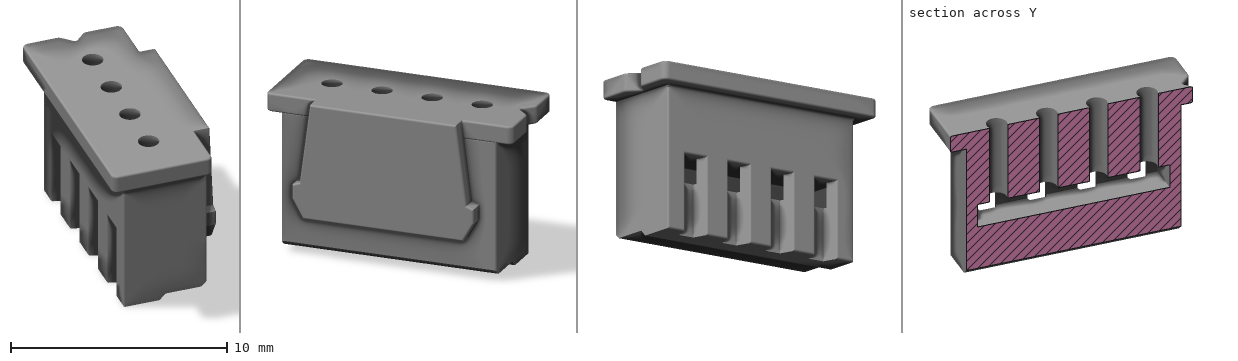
import cadquery as cq

flange_length = 12.3
flange_width = 4.93
flange_thickness = 0.9
total_height = 7.75
total_width = 5.7
edge_radius = 0.1
corner_radius = 0.3

body_length = 10.7
body_front_y = 0.8
body_back_y = flange_width
flange_bottom_z = total_height - flange_thickness
bottom_step = 0.3
bottom_step_y = 2.58
back_chamfer_width = 0.3
back_chamfer_height = 0.26

notch_depth = 0.6
notch_y = flange_width / 2
notch_root_radius = 0.14

latch_top_half = 3.64
latch_shoulder_half = 4.16
latch_half = 4.51
latch_bottom_half = 3.99
latch_shoulder_z = 3.84
latch_side_top_z = 3.7
latch_side_bottom_z = 2.99
latch_bottom_z = 2.07

contact_count = 4
contact_pitch = 2.5
hole_diameter = 1.0
hole_y = 2.63
slot_mouth_width = 1.28
slot_floor_width = 0.82
slot_depth = 0.76
slot_height = 3.73
chamber_wall = 0.58
chamber_floor_z = 2.53
contact_x = [(i - (contact_count - 1) / 2) * contact_pitch for i in range(contact_count)]


def make_flange():
    """Rounded plate with a V notch, all its top and bottom edges rounded."""
    end_x = flange_length / 2
    plate = cq.Workplane("XY").workplane(offset=flange_bottom_z)
    plate = plate.center(0, flange_width / 2).rect(flange_length, flange_width).extrude(flange_thickness)
    notch = (
        cq.Workplane("XY")
        .workplane(offset=flange_bottom_z)
        .moveTo(-end_x, notch_y - notch_depth)
        .lineTo(-end_x + notch_depth, notch_y)
        .lineTo(-end_x, notch_y + notch_depth)
        .close()
        .extrude(flange_thickness)
    )
    plate = plate.cut(notch)
    notch_root = (-end_x + notch_depth, notch_y, flange_bottom_z + flange_thickness / 2)
    plate = plate.edges(cq.selectors.NearestToPointSelector(notch_root)).fillet(notch_root_radius)
    plate = plate.edges("|Z").edges("<X or >X").fillet(corner_radius)
    return plate.faces("<Z or >Z").edges().fillet(edge_radius)


def make_slot(x):
    """Slot open at the underside, narrowing towards its floor."""
    return (
        cq.Workplane("XY")
        .moveTo(x - slot_mouth_width / 2, body_front_y)
        .lineTo(x + slot_mouth_width / 2, body_front_y)
        .lineTo(x + slot_floor_width / 2, body_front_y + slot_depth)
        .lineTo(x - slot_floor_width / 2, body_front_y + slot_depth)
        .close()
        .extrude(slot_height)
    )


def make_body():
    """Block with a stepped underside, front slots and rounded edges."""
    body = (
        cq.Workplane("YZ")
        .moveTo(body_front_y, 0)
        .lineTo(bottom_step_y, 0)
        .lineTo(bottom_step_y + bottom_step, bottom_step)
        .lineTo(body_back_y - back_chamfer_width, bottom_step)
        .lineTo(body_back_y, bottom_step + back_chamfer_height)
        .lineTo(body_back_y, flange_bottom_z)
        .lineTo(body_front_y, flange_bottom_z)
        .close()
        .extrude(body_length / 2, both=True)
    )
    for x in contact_x:
        body = body.cut(make_slot(x))
    body = body.faces(">Y").edges("|Z").fillet(edge_radius)
    return body.faces("<Y").edges("not >Z").fillet(edge_radius)


def make_front_blend():
    """Concave strip that blends the body front into the flange underside."""
    return (
        cq.Workplane("YZ")
        .moveTo(body_front_y - edge_radius, flange_bottom_z)
        .radiusArc((body_front_y, flange_bottom_z - edge_radius), edge_radius)
        .lineTo(body_front_y + edge_radius, flange_bottom_z - edge_radius)
        .lineTo(body_front_y + edge_radius, flange_bottom_z)
        .close()
        .extrude(body_length / 2, both=True)
    )


def make_latch():
    """Block on the back face, narrow at the top, with its rear outline rounded."""
    right_side = [
        (latch_top_half, total_height),
        (latch_shoulder_half, latch_shoulder_z),
        (latch_half, latch_side_top_z),
        (latch_half, latch_side_bottom_z),
        (latch_bottom_half, latch_bottom_z),
    ]
    left_side = [(-x, z) for x, z in reversed(right_side)]
    root_y = body_back_y - 2 * edge_radius
    latch = cq.Workplane("XZ", origin=(0, root_y, 0)).polyline(right_side + left_side).close()
    latch = latch.extrude(root_y - total_width)
    return latch.faces(">Y").edges().fillet(edge_radius)


def make_wire_hole(x):
    """Round hole from the top down to the chamber floor."""
    hole = cq.Workplane("XY", origin=(x, hole_y, chamber_floor_z)).circle(hole_diameter / 2)
    return hole.extrude(total_height - chamber_floor_z)


def make_chamber():
    """Closed chamber across all contacts, opened at the front where the slots cut into it."""
    chamber_front_y = body_front_y + chamber_wall
    chamber_back_y = hole_y + hole_diameter / 2
    chamber = cq.Workplane("XY").box(
        body_length - 2 * chamber_wall,
        chamber_back_y - chamber_front_y,
        slot_height - chamber_floor_z,
        centered=(True, False, False),
    )
    return chamber.translate((0, chamber_front_y, chamber_floor_z))


result = make_flange().union(make_body())
result = result.union(make_front_blend())
result = result.union(make_latch())
result = result.cut(make_chamber())
for x in contact_x:
    result = result.cut(make_wire_hole(x))